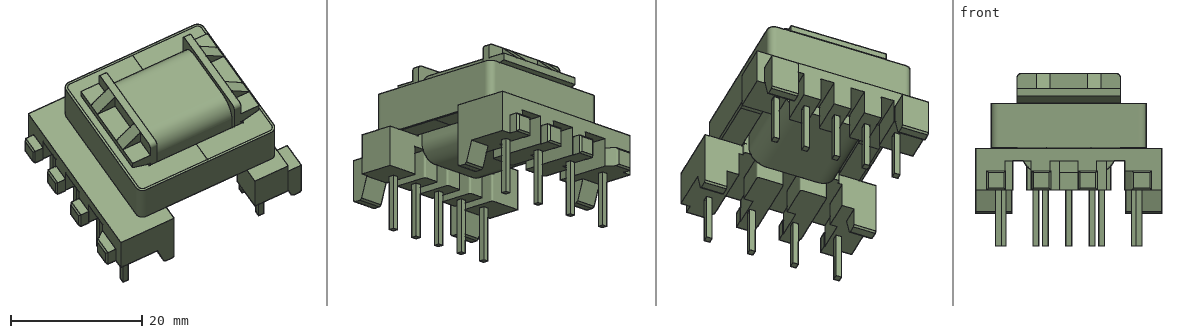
import cadquery as cq


CORE_HALF_X = 11.45
CORE_HALF_Y = 11.7
CORE_HALF_Z = 3.37
SIDE_LEG = 3.4
CENTRE_LEG = 2 * SIDE_LEG
CORE_CORNER_R = 0.75
TAPE_THICKNESS = 0.37
WINDOW_HALF_X = CORE_HALF_X - SIDE_LEG
WINDOW_HALF_Y = CORE_HALF_Y - SIDE_LEG

COIL_HALF = 7.15
COIL_CORNER_R = 2.93
FLANGE_HALF_X = 7.9
FLANGE_INNER_Y = 6.78
FLANGE_OUTER_Y = 7.97
FLANGE_TOP = 7.97
FLANGE_CORNER_R = 0.7

CORE_CLEARANCE = 0.1
WING_TIP_Y = 11.1
WING_ROOT_BOTTOM = CORE_HALF_Z + CORE_CLEARANCE
WING_TIP_BOTTOM = 4.53
WING_TOP = 5.62
RIB_WIDTH = 2.0
RIB_X = 3.88

BASE_HALF_X = 14.15
BASE_TOP = -WING_ROOT_BOTTOM
BASE_BOTTOM = -9.8
SLOT_TOP = -5.38
FRONT_Y = -16.75
FRONT_LEG_INNER_Y = -7.4
REAR_Y = 12.63
POST_EDGE_R = 0.3

SLOT_PITCH = 7.15
SLOT_WIDTH = 2.8
SLOT_XS = (-SLOT_PITCH, 0, SLOT_PITCH)
SLOT_WIDENINGS = (1.15, 1.43, 1.5)
MOUTH_DEPTH = 4.75
OUTER_SLOT_EDGE = SLOT_PITCH + SLOT_WIDTH / 2

PIN_SIZE = 0.92
PIN_BOTTOM = -18.35
FRONT_PIN_Y = -14.2
FRONT_PIN_COUNT = 4
FRONT_PIN_PITCH = SLOT_PITCH
REAR_PIN_Y = 10.0
REAR_PIN_COUNT = 5
REAR_PIN_PITCH = 5.0
REAR_POST_WIDTH = 2.83
REAR_LEG_INNER_X = 8.5

FOOT_BOTTOM = -13.35
FOOT_EDGE = 0.27
FOOT_SLOPE_RUN = 1.15
FRONT_FOOT_TOP_LENGTH = 2.9
FRONT_FOOT_INNER_X = 10.52
REAR_FOOT_INNER_X = 8.65
REAR_FOOT_OUTER_X = 12.97
REAR_FOOT_TOP = -6.65
REAR_FOOT_TIP_Y = 15.63
REAR_FOOT_TOP_LENGTH = 2.83

LUG_WIDTH = 2.9
LUG_TIP_Y = -18.42
LUG_TOP = -6.88
LUG_CHAMFER = 0.27
LUG_OVERHANG = 0.1
END_LUG_X0 = 9.6
END_LUG_X1 = 12.63


def block(x0, x1, y0, y1, z0, z1):
    """Box between two limits on each axis."""
    return cq.Workplane("XY").box(x1 - x0, y1 - y0, z1 - z0, centered=False).translate((x0, y0, z0))


def centred_block(half_x, half_y, half_z):
    """Box centred on the origin."""
    return block(-half_x, half_x, -half_y, half_y, -half_z, half_z)


def side_profile(points, x0, x1):
    """Prism between x0 and x1 from an outline of (Y, Z) points."""
    return cq.Workplane("YZ").polyline(points).close().extrude(x1 - x0).translate((x0, 0, 0))


def mirror_x(part):
    """A part together with its mirror image across X = 0."""
    return part.union(part.mirror("YZ"))


def make_core_half(side):
    """One E-shaped half on the +Y side (side = 1) or the -Y side (side = -1)."""
    core = centred_block(CORE_HALF_X, CORE_HALF_Y, CORE_HALF_Z).edges("|Z").fillet(CORE_CORNER_R)
    core = core.cut(centred_block(WINDOW_HALF_X, WINDOW_HALF_Y, CORE_HALF_Z))
    core = core.union(centred_block(CENTRE_LEG / 2, WINDOW_HALF_Y, CORE_HALF_Z))
    y0, y1 = sorted((0, side * CORE_HALF_Y))
    return core.intersect(block(-CORE_HALF_X, CORE_HALF_X, y0, y1, -CORE_HALF_Z, CORE_HALF_Z))


def make_tape():
    """Closed band that fits around the outside of both core halves."""
    outer = centred_block(CORE_HALF_X + TAPE_THICKNESS, CORE_HALF_Y + TAPE_THICKNESS, CORE_HALF_Z)
    outer = outer.edges("|Z").fillet(CORE_CORNER_R + TAPE_THICKNESS)
    inner = centred_block(CORE_HALF_X, CORE_HALF_Y, CORE_HALF_Z).edges("|Z").fillet(CORE_CORNER_R)
    return outer.cut(inner)


def make_coil():
    """Winding with rounded long edges."""
    coil = centred_block(COIL_HALF, FLANGE_INNER_Y, COIL_HALF)
    return coil.edges("|Y").fillet(COIL_CORNER_R)


def make_flange():
    """Flange, wing and ribs at the -Y end of the coil."""
    flange = block(-FLANGE_HALF_X, FLANGE_HALF_X, -FLANGE_OUTER_Y, -FLANGE_INNER_Y, BASE_TOP, FLANGE_TOP)
    flange = flange.edges("|Y and >Z").fillet(FLANGE_CORNER_R)
    wing = side_profile(
        [
            (-FLANGE_OUTER_Y, WING_ROOT_BOTTOM),
            (-FLANGE_OUTER_Y, WING_TOP),
            (-WING_TIP_Y, WING_TOP),
            (-WING_TIP_Y, WING_TIP_BOTTOM),
        ],
        -FLANGE_HALF_X,
        FLANGE_HALF_X,
    )
    rib = side_profile(
        [(-FLANGE_OUTER_Y, WING_TOP), (-FLANGE_OUTER_Y, FLANGE_TOP), (-WING_TIP_Y, WING_TOP)],
        RIB_X - RIB_WIDTH / 2,
        RIB_X + RIB_WIDTH / 2,
    )
    return flange.union(wing).union(mirror_x(rib))


def make_lug(x0, x1):
    """Square lug on the front face with a chamfered tip."""
    lug = block(x0, x1, LUG_TIP_Y, FRONT_Y, BASE_BOTTOM, LUG_TOP)
    return lug.faces("<Y").chamfer(LUG_CHAMFER)


def make_lugs():
    """A lug on the -X side of each slot, and an end lug with a sloping flank beside the last slot."""
    lugs = cq.Workplane("XY")
    for slot_x, widening in zip(SLOT_XS, SLOT_WIDENINGS):
        x1 = slot_x - SLOT_WIDTH / 2 - widening + LUG_OVERHANG
        lugs = lugs.add(make_lug(x1 - LUG_WIDTH, x1))
    end_lug = make_lug(END_LUG_X0, END_LUG_X1)
    flank = (
        cq.Workplane("XY")
        .polyline([(OUTER_SLOT_EDGE, FRONT_Y), (END_LUG_X0, FRONT_Y), (END_LUG_X0, LUG_TIP_Y + LUG_CHAMFER)])
        .close()
        .extrude(LUG_TOP - BASE_BOTTOM)
        .translate((0, 0, BASE_BOTTOM))
    )
    return lugs.add(end_lug.union(flank)).combine()


def make_front_base():
    """Front base with wire slots, rounded inner post edges and lugs."""
    base = block(-BASE_HALF_X, BASE_HALF_X, FRONT_Y, FRONT_LEG_INNER_Y, BASE_BOTTOM, BASE_TOP)
    inner_wall = block(
        -FLANGE_HALF_X, FLANGE_HALF_X, FRONT_LEG_INNER_Y, -FLANGE_INNER_Y, BASE_BOTTOM, BASE_TOP
    )
    base = base.union(inner_wall)
    for slot_x, widening in zip(SLOT_XS, SLOT_WIDENINGS):
        x0 = slot_x - SLOT_WIDTH / 2
        x1 = x0 + SLOT_WIDTH
        slot = block(x0, x1, FRONT_Y, -FLANGE_INNER_Y, BASE_BOTTOM, SLOT_TOP)
        mouth = block(x0 - widening, x0, FRONT_Y, FRONT_Y + MOUTH_DEPTH, BASE_BOTTOM, SLOT_TOP)
        base = base.cut(slot).cut(mouth)
    base = base.faces(">Y").edges("|Z").fillet(POST_EDGE_R)
    return base.union(make_lugs())


def make_rear_base():
    """Rear base with two outer legs, and a post around each of the three inner pins."""
    base = block(-BASE_HALF_X, BASE_HALF_X, FLANGE_INNER_Y, REAR_Y, BASE_BOTTOM, BASE_TOP)
    base = base.cut(
        block(-REAR_LEG_INNER_X, REAR_LEG_INNER_X, FLANGE_INNER_Y, REAR_Y, BASE_BOTTOM, SLOT_TOP)
    )
    for step in (-1, 0, 1):
        x0 = step * REAR_PIN_PITCH - REAR_POST_WIDTH / 2
        post = block(x0, x0 + REAR_POST_WIDTH, FLANGE_INNER_Y, REAR_Y, BASE_BOTTOM, SLOT_TOP)
        base = base.union(post)
    return base.faces("<Y").edges("|Z and (not <X) and (not >X)").fillet(POST_EDGE_R)


def make_foot(upright_y, top_length, top, x0, x1):
    """Foot with an upright face at upright_y and, below the base, a sloping face on its -Y side."""
    root_y = upright_y - top_length
    foot = side_profile(
        [
            (upright_y, top),
            (upright_y, FOOT_BOTTOM),
            (root_y + FOOT_SLOPE_RUN, FOOT_BOTTOM),
            (root_y, BASE_BOTTOM),
            (root_y, top),
        ],
        x0,
        x1,
    )
    return foot.faces("<Z").edges("|X").chamfer(FOOT_EDGE)


def make_feet():
    """A front and a rear foot on each side; a short web joins each rear foot to the rear face."""
    front_foot = make_foot(
        FRONT_LEG_INNER_Y, FRONT_FOOT_TOP_LENGTH, SLOT_TOP, FRONT_FOOT_INNER_X, BASE_HALF_X
    )
    rear_foot = make_foot(
        REAR_FOOT_TIP_Y, REAR_FOOT_TOP_LENGTH, REAR_FOOT_TOP, REAR_FOOT_INNER_X, REAR_FOOT_OUTER_X
    )
    rear_root_y = REAR_FOOT_TIP_Y - REAR_FOOT_TOP_LENGTH
    rear_web = block(
        REAR_FOOT_INNER_X, REAR_FOOT_OUTER_X, REAR_Y, rear_root_y, BASE_BOTTOM, REAR_FOOT_TOP
    )
    return mirror_x(front_foot.union(rear_foot.union(rear_web)))


def pin_row(count, pitch, y):
    """Evenly spaced pin centres, symmetric about X = 0."""
    first_x = -pitch * (count - 1) / 2
    return [(first_x + step * pitch, y) for step in range(count)]


def make_pins():
    """Both rows of square pins, which are one piece with the bases."""
    front_pins = pin_row(FRONT_PIN_COUNT, FRONT_PIN_PITCH, FRONT_PIN_Y)
    rear_pins = pin_row(REAR_PIN_COUNT, REAR_PIN_PITCH, REAR_PIN_Y)
    return (
        cq.Workplane("XY")
        .workplane(offset=PIN_BOTTOM)
        .pushPoints(front_pins + rear_pins)
        .rect(PIN_SIZE, PIN_SIZE)
        .extrude(BASE_BOTTOM - PIN_BOTTOM)
    )


def make_coil_former():
    """Coil, flanges, bases, feet and pins in one piece, with a tunnel for the centre leg."""
    flange = make_flange()
    former = make_coil().union(flange).union(flange.mirror("XZ"))
    former = former.union(make_front_base()).union(make_rear_base())
    former = former.union(make_feet()).union(make_pins())
    return former.cut(centred_block(CENTRE_LEG / 2, FLANGE_OUTER_Y, CORE_HALF_Z))


coil_former = make_coil_former()
core_halves = [make_core_half(side) for side in (-1, 1)]
tape = make_tape()

result = cq.Compound.makeCompound(
    [coil_former.val(), *[half.val() for half in core_halves], tape.val()]
)